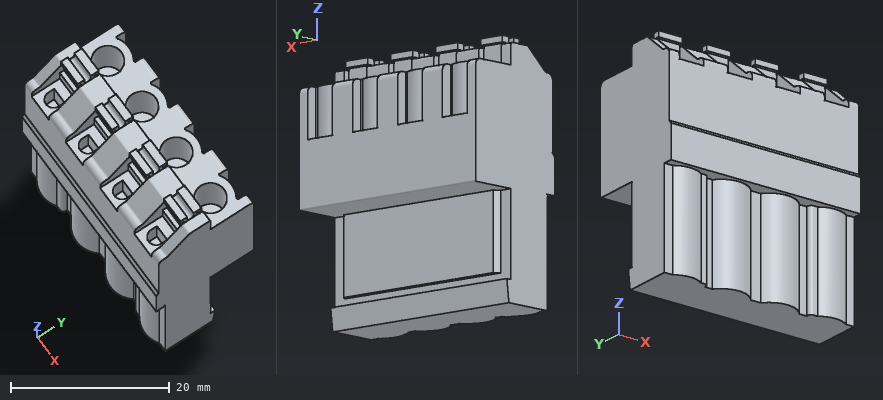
import cadquery as cq
import math


POLE_COUNT = 4
PITCH = 7.6
POLES = [(i - (POLE_COUNT - 1) / 2) * PITCH for i in range(POLE_COUNT)]

WIDTH = 29.87
DEPTH = 15.05
BAND_TOP_Z = 20.0
BAND_BEVEL = 0.5
BAND_Z = 14.97
FRONT_Y = 0.38
FRONT_TOP_Z = 30.63
FRONT_EDGE_R = 0.87
SLOPE_BOTTOM_Y = 1.65
SLOPE_TOP_Y = 5.1
SLOPE_R = 0.35
RIDGE_Z = 33.6
RIDGE_BACK_Y = 8.35
RIDGE_BACK_R = 0.38
DECK_CORNER_R = 0.17
BACK_TOP_R = 0.9
BACK_BOTTOM_R = 0.2
BACK_SHOULDER_Z = 14.73

PLUG_SIDE_Y = 1.4
PLUG_MIDDLE_Y = 2.15
PLUG_BACK_Y = 8.35
PLUG_END_WIDTH = 6.95
PLUG_CORNER_R = 0.55
BARREL_R = 3.8
BARREL_FRONT_Y = 0.65

LATCH_REACH = 0.75
LATCH_BOTTOM_REACH = 0.38
LATCH_HEIGHT = 3.05
RIB_BOTTOM_Z = 4.1
RIB_END_GAP = 1.75
RIB_SIDE_SLANT = 35.0

WIRE_HOLE_R = 2.1
WIRE_HOLE_Y = 10.75
WIRE_HOLE_DEPTH = 6.95
RELIEF_WIDTH = 4.17
RELIEF_FRONT_Y = 13.5
RELIEF_ARC_R = 3.25
RELIEF_DEPTH = 6.95

SLOT_WIDTH = 3.82
LEDGE_Z = 31.12
LEDGE_FRONT_Y = 4.72
RECESS_Z = 29.3
TEST_HOLE_R = 1.15
TEST_HOLE_Y = 2.43
TEST_HOLE_BACK_Y = 3.35
TEST_HOLE_DEPTH = 3.47

SLIDER_WIDTH = 3.75
SLIDER_TOP_Z = 34.73
LIP_BOTTOM_Z = 33.83
LIP_FRONT_Y = 4.85
LIP_BACK_Y = 8.1
STEM_FRONT_Y = 5.4
STEM_BACK_Y = 7.43
GROOVE_Y = 6.4
GROOVE_R = 0.5
GROOVE_DEPTH = 1.2


def block(x_mid, width, y_min, y_max, z_min, z_max):
    """Box centred on x_mid, given by its Y and Z limits."""
    size = (width, y_max - y_min, z_max - z_min)
    return cq.Workplane("XY").box(*size, centered=(True, False, False)).translate((x_mid, y_min, z_min))


def bar(points, width):
    """Bar along X, centred, with a polygonal (Y, Z) section."""
    return cq.Workplane("YZ").polyline(points).close().extrude(width / 2, both=True)


def main_section():
    """Upper housing: stepped section with a sloped ridge, constant along X."""
    body = bar(
        [
            (0, BAND_Z),
            (0, BAND_TOP_Z),
            (FRONT_Y, BAND_TOP_Z + BAND_BEVEL),
            (FRONT_Y, FRONT_TOP_Z),
            (SLOPE_BOTTOM_Y, FRONT_TOP_Z),
            (SLOPE_TOP_Y, RIDGE_Z),
            (RIDGE_BACK_Y, RIDGE_Z),
            (RIDGE_BACK_Y, FRONT_TOP_Z),
            (DEPTH, FRONT_TOP_Z),
            (DEPTH, BACK_SHOULDER_Z),
            (PLUG_BACK_Y, BACK_SHOULDER_Z),
            (PLUG_BACK_Y, BAND_Z),
        ],
        WIDTH,
    )
    roundings = [
        (FRONT_Y, FRONT_TOP_Z, FRONT_EDGE_R),
        (SLOPE_BOTTOM_Y, FRONT_TOP_Z, SLOPE_R),
        (SLOPE_TOP_Y, RIDGE_Z, SLOPE_R),
        (RIDGE_BACK_Y, RIDGE_Z, RIDGE_BACK_R),
        (RIDGE_BACK_Y, FRONT_TOP_Z, DECK_CORNER_R),
        (DEPTH, FRONT_TOP_Z, BACK_TOP_R),
        (DEPTH, BACK_SHOULDER_Z, BACK_BOTTOM_R),
    ]
    for y, z, radius in roundings:
        body = body.edges("|X").edges(cq.NearestToPointSelector((0, y, z))).fillet(radius)
    return body


def plug():
    """Lower housing: stepped front with one rounded barrel per pole."""
    half = WIDTH / 2
    inner = half - PLUG_END_WIDTH
    body = (
        cq.Workplane("XY")
        .polyline(
            [
                (-half, PLUG_SIDE_Y),
                (-inner, PLUG_SIDE_Y),
                (-inner, PLUG_MIDDLE_Y),
                (inner, PLUG_MIDDLE_Y),
                (inner, PLUG_SIDE_Y),
                (half, PLUG_SIDE_Y),
                (half, PLUG_BACK_Y),
                (-half, PLUG_BACK_Y),
            ]
        )
        .close()
        .extrude(BAND_Z)
    )
    for x in (-inner, inner):
        corner = cq.NearestToPointSelector((x, PLUG_SIDE_Y, BAND_Z / 2))
        body = body.edges("|Z").edges(corner).fillet(PLUG_CORNER_R)

    barrel_axis_y = BARREL_FRONT_Y + BARREL_R
    half_chord = math.sqrt(BARREL_R**2 - (barrel_axis_y - PLUG_MIDDLE_Y) ** 2)
    for x in POLES:
        barrel = (
            cq.Workplane("XY")
            .moveTo(x - half_chord, PLUG_MIDDLE_Y)
            .threePointArc((x, BARREL_FRONT_Y), (x + half_chord, PLUG_MIDDLE_Y))
            .close()
            .extrude(BAND_Z)
        )
        body = body.union(barrel)
    return body


def latch_lip():
    """Full-width lip at the foot of the plug's back, tapering towards the bottom."""
    return bar(
        [
            (PLUG_BACK_Y, 0),
            (PLUG_BACK_Y + LATCH_BOTTOM_REACH, 0),
            (PLUG_BACK_Y + LATCH_REACH, LATCH_HEIGHT),
            (PLUG_BACK_Y, LATCH_HEIGHT),
        ],
        WIDTH,
    )


def guide_rib():
    """Slant-sided rib above the latch lip, running up to the shoulder."""
    foot = WIDTH / 2 - RIB_END_GAP
    crest = foot - LATCH_REACH * math.tan(math.radians(RIB_SIDE_SLANT))
    crest_y = PLUG_BACK_Y + LATCH_REACH
    return (
        cq.Workplane("XY", origin=(0, 0, RIB_BOTTOM_Z))
        .polyline([(-foot, PLUG_BACK_Y), (foot, PLUG_BACK_Y), (crest, crest_y), (-crest, crest_y)])
        .close()
        .extrude(BACK_SHOULDER_Z - RIB_BOTTOM_Z)
    )


def wire_entry(x):
    """Round hole in the rear deck."""
    deck = cq.Workplane("XY", origin=(x, WIRE_HOLE_Y, FRONT_TOP_Z))
    return deck.circle(WIRE_HOLE_R).extrude(-WIRE_HOLE_DEPTH)


def back_relief(x):
    """Notch in the back top edge that leaves a round wall about the wire entry."""
    floor_z = FRONT_TOP_Z - RELIEF_DEPTH
    notch = block(x, RELIEF_WIDTH, RELIEF_FRONT_Y, DEPTH, floor_z, FRONT_TOP_Z)
    wall = (
        cq.Workplane("XY", origin=(x, WIRE_HOLE_Y, floor_z))
        .circle(RELIEF_ARC_R)
        .extrude(RELIEF_DEPTH)
    )
    return notch.cut(wall)


def slider_slot(x):
    """Slot through the ridge with a ledge for the slider and a lower recess in front."""
    slot = block(x, SLOT_WIDTH, LEDGE_FRONT_Y, RIDGE_BACK_Y, LEDGE_Z, RIDGE_Z)
    recess = block(x, SLOT_WIDTH, FRONT_Y, LEDGE_FRONT_Y, RECESS_Z, RIDGE_Z)
    return slot.union(recess)


def test_hole(x):
    """D-shaped hole in the floor of the front recess, round side to the front."""
    return (
        cq.Workplane("XY", origin=(x, 0, RECESS_Z))
        .moveTo(-TEST_HOLE_R, TEST_HOLE_BACK_Y)
        .lineTo(-TEST_HOLE_R, TEST_HOLE_Y)
        .threePointArc((0, TEST_HOLE_Y - TEST_HOLE_R), (TEST_HOLE_R, TEST_HOLE_Y))
        .lineTo(TEST_HOLE_R, TEST_HOLE_BACK_Y)
        .close()
        .extrude(-TEST_HOLE_DEPTH)
    )


def make_housing():
    body = main_section().union(plug()).union(latch_lip()).union(guide_rib())
    for x in POLES:
        for feature in (wire_entry, back_relief, slider_slot, test_hole):
            body = body.cut(feature(x))
    return body


def make_slider(x):
    """T-shaped release slider that stands on the slot ledge, with a U groove along its top."""
    stem = block(x, SLIDER_WIDTH, STEM_FRONT_Y, STEM_BACK_Y, LEDGE_Z, SLIDER_TOP_Z)
    lips = block(x, SLIDER_WIDTH, LIP_FRONT_Y, LIP_BACK_Y, LIP_BOTTOM_Z, SLIDER_TOP_Z)
    arc_z = SLIDER_TOP_Z - GROOVE_DEPTH + GROOVE_R
    groove = (
        cq.Workplane("YZ", origin=(x, 0, 0))
        .moveTo(GROOVE_Y - GROOVE_R, SLIDER_TOP_Z)
        .lineTo(GROOVE_Y - GROOVE_R, arc_z)
        .threePointArc((GROOVE_Y, arc_z - GROOVE_R), (GROOVE_Y + GROOVE_R, arc_z))
        .lineTo(GROOVE_Y + GROOVE_R, SLIDER_TOP_Z)
        .close()
        .extrude(SLIDER_WIDTH / 2, both=True)
    )
    return stem.union(lips).cut(groove)


housing = make_housing()
sliders = [make_slider(x) for x in POLES]

result = cq.Compound.makeCompound([housing.val(), *[slider.val() for slider in sliders]])